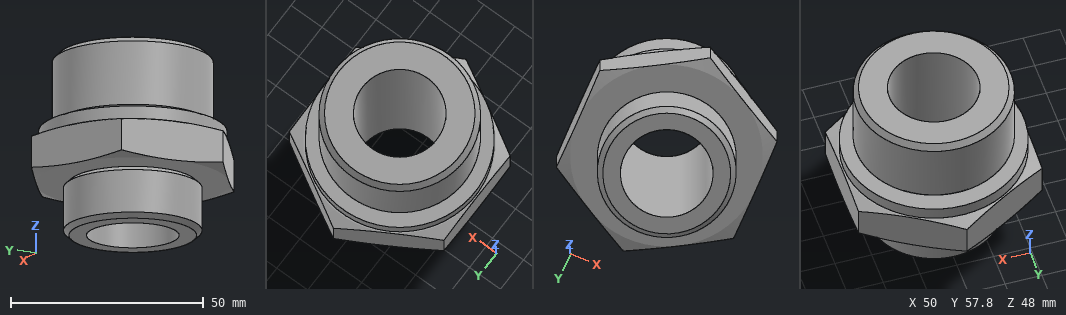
import cadquery as cq
import math

hex_bottom = 13.95
hex_top = 24.5
collar_top = 28.0
total_height = 48.0

hex_corners = 57.75
hex_flats = hex_corners * math.cos(math.radians(30))
lower_diameter = 36.0
upper_diameter = 41.9
collar_diameter = 49.0
bore_diameter = 24.0

hex_bevel_angle = 15.0
lower_bevel_radial = 1.45
lower_bevel_height = 1.25
upper_bevel = 1.45


def beveled_cylinder(diameter, bottom, top, bevel_radial, bevel_height):
    """Cylinder about Z with the same bevel on both end edges."""
    radius = diameter / 2
    end_radius = radius - bevel_radial
    return (
        cq.Workplane("XZ")
        .moveTo(0, bottom)
        .lineTo(end_radius, bottom)
        .lineTo(radius, bottom + bevel_height)
        .lineTo(radius, top - bevel_height)
        .lineTo(end_radius, top)
        .lineTo(0, top)
        .close()
        .revolve(360, (0, 0, 0), (0, 1, 0))
    )


def hex_nut():
    """Hexagon with corners on the Y axis, its corners beveled by shallow cones."""
    prism = (
        cq.Workplane("XY")
        .workplane(offset=hex_bottom)
        .polygon(6, hex_corners)
        .extrude(hex_top - hex_bottom)
        .rotate((0, 0, 0), (0, 0, 1), 90)
    )
    bevel_radial = hex_corners - hex_flats
    bevel_height = bevel_radial * math.tan(math.radians(hex_bevel_angle))
    envelope_diameter = hex_flats + 2 * bevel_radial
    envelope = beveled_cylinder(envelope_diameter, hex_bottom, hex_top, bevel_radial, bevel_height)
    return prism.intersect(envelope)


lower_spigot = beveled_cylinder(
    lower_diameter, 0, hex_bottom, lower_bevel_radial, lower_bevel_height
)
upper_spigot = beveled_cylinder(
    upper_diameter, collar_top, total_height, upper_bevel, upper_bevel
)
collar = (
    cq.Workplane("XY")
    .workplane(offset=hex_top)
    .circle(collar_diameter / 2)
    .extrude(collar_top - hex_top)
)
bore = cq.Workplane("XY").circle(bore_diameter / 2).extrude(total_height)

result = lower_spigot.union(hex_nut()).union(collar).union(upper_spigot).cut(bore)